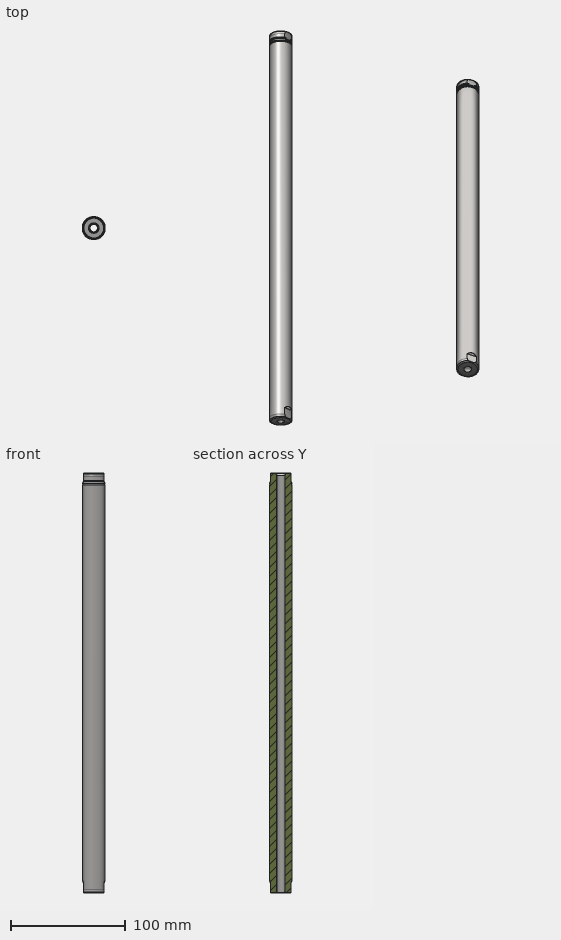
import cadquery as cq
LENGTH = 365.0
RADIUS = 10.0

TAPER_LENGTH = 3.0
TAPER_DEPTH = 0.35
CHAMFER_HEIGHT = 0.8
CHAMFER_RADIUS = RADIUS - TAPER_DEPTH
BOTTOM_CHAMFER_DEPTH = 1.25
TOP_CHAMFER_DEPTH = 1.0

GROOVE_DROPS = (6.1, 9.0)
GROOVE_WIDTH = 1.1
GROOVE_RADIUS = 9.4

BORE_RADIUS = 3.3
MOUTH_RADIUS = 4.5
MOUTH_DEPTH = 2.0

FLAT_OFFSET = 9.0
RAMP_LENGTH = 2.0
BOTTOM_FLAT_LENGTH = 9.0
TOP_FLAT_LENGTH = 7.3


def make_rod():
    """Revolve the tapered and chamfered outline, bore included, about the Z axis."""
    outline = [
        (BORE_RADIUS, 0),
        (CHAMFER_RADIUS - BOTTOM_CHAMFER_DEPTH, 0),
        (CHAMFER_RADIUS, CHAMFER_HEIGHT),
        (RADIUS, TAPER_LENGTH),
        (RADIUS, LENGTH - TAPER_LENGTH),
        (CHAMFER_RADIUS, LENGTH - CHAMFER_HEIGHT),
        (CHAMFER_RADIUS - TOP_CHAMFER_DEPTH, LENGTH),
        (MOUTH_RADIUS, LENGTH),
        (BORE_RADIUS, LENGTH - MOUTH_DEPTH),
    ]
    return cq.Workplane("XZ").polyline(outline).close().revolve(360, (0, 0), (0, 1))


def make_groove_ring(drop):
    """Ring of material removed by one groove whose upper edge lies `drop` below the top."""
    return (
        cq.Workplane("XY", origin=(0, 0, LENGTH - drop - GROOVE_WIDTH))
        .circle(RADIUS)
        .circle(GROOVE_RADIUS)
        .extrude(GROOVE_WIDTH)
    )


def make_flat(end_z, direction, flat_length):
    """Material removed by the +X flat that runs from the end face at end_z along direction."""
    flat_end = end_z + direction * flat_length
    ramp_end = flat_end + direction * RAMP_LENGTH
    side_profile = [
        (FLAT_OFFSET, end_z),
        (RADIUS, end_z),
        (RADIUS, ramp_end),
        (FLAT_OFFSET, flat_end),
    ]
    return cq.Workplane("XZ").polyline(side_profile).close().extrude(RADIUS, both=True)


result = make_rod()

for groove_drop in GROOVE_DROPS:
    result = result.cut(make_groove_ring(groove_drop))

bottom_flat = make_flat(0, 1, BOTTOM_FLAT_LENGTH)
top_flat = make_flat(LENGTH, -1, TOP_FLAT_LENGTH)
for flat in (bottom_flat, top_flat):
    result = result.cut(flat).cut(flat.mirror("YZ"))